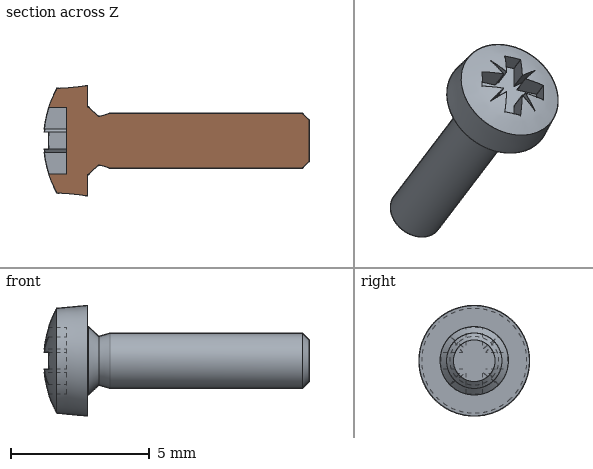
import cadquery as cq
import math

length = 9.57
head_height = 1.57
head_base_radius = 2.0
rim_radius = 1.895
dome_radius = 3.92

collar_radius = 1.23
collar_length = 0.03
neck_radius = 0.88
neck_x = head_height + 0.4
shank_x = head_height + 0.8
shank_radius = 2.0 / 2
tip_chamfer = 0.25

arm_reach = 1.2
arm_half_width = 0.31
notch_root = 0.42
notch_tip = 0.86
recess_floor_x = 0.8


def dome_sag(radius):
    """Axial drop of the spherical dome at a given radius from its apex."""
    return dome_radius - math.sqrt(dome_radius**2 - radius**2)


apex_x = -dome_sag(math.hypot(arm_half_width, notch_root))


def make_body():
    mid_radius = rim_radius / 2
    dome_middle = (apex_x + dome_sag(mid_radius), mid_radius)
    rim = (apex_x + dome_sag(rim_radius), rim_radius)
    profile = (
        cq.Workplane("XZ")
        .moveTo(apex_x, 0)
        .threePointArc(dome_middle, rim)
        .lineTo(head_height, head_base_radius)
        .lineTo(head_height, collar_radius)
        .lineTo(head_height + collar_length, collar_radius)
        .lineTo(neck_x, neck_radius)
        .lineTo(shank_x, shank_radius)
        .lineTo(length - tip_chamfer, shank_radius)
        .lineTo(length, shank_radius - tip_chamfer)
        .lineTo(length, 0)
        .close()
    )
    return profile.revolve(360, (0, 0, 0), (1, 0, 0))


def make_recess():
    quarter = [
        (arm_reach, -arm_half_width),
        (arm_reach, arm_half_width),
        (notch_root, arm_half_width),
        (notch_tip, notch_tip),
        (arm_half_width, notch_root),
    ]
    outline = []
    for _ in range(4):
        outline += quarter
        quarter = [(-v, u) for u, v in quarter]
    depth = recess_floor_x - apex_x
    return cq.Workplane("YZ", origin=(apex_x, 0, 0)).polyline(outline).close().extrude(depth)


result = make_body().cut(make_recess())